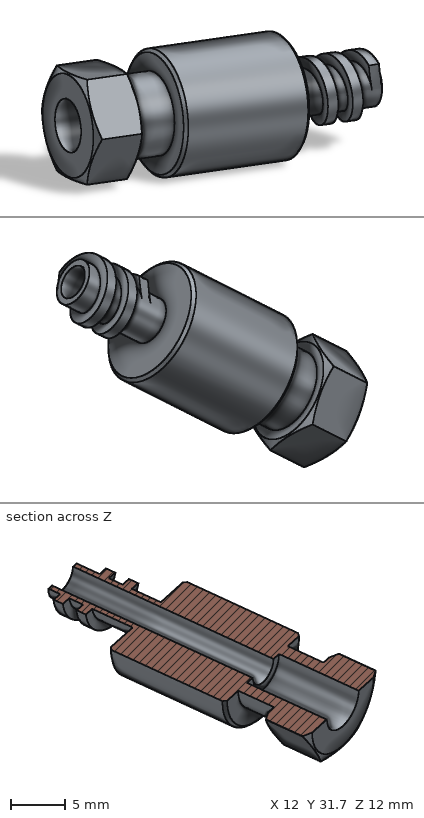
import cadquery as cq
import math

overall_length = 31.7

nut_length = 5.0
nut_across_flats = 10.02
nut_face_diameter = 9.7
nut_chamfer_depth = 0.4

neck_diameter = 7.9
neck_length = 4.0
body_diameter = 12.0
body_chamfer = 0.32
spigot_diameter = 4.5
spigot_length = 9.5

bore_diameter = 3.25
socket_diameter = 5.0

thread_diameter = 6.5
thread_pitch = 2.6
thread_crest = 1.08
thread_turns = 2.5
thread_root_overlap = 0.15

body_start = nut_length + neck_length
body_end = overall_length - spigot_length
thread_end = overall_length - thread_crest / 2
thread_start = thread_end - thread_turns * thread_pitch


def rod(diameter, start, end):
    """Cylinder on the Y axis between two stations."""
    plane = cq.Workplane("XZ", origin=(0, start, 0))
    return plane.circle(diameter / 2).extrude(start - end)


def make_nut():
    """Hexagon with flats facing up and down, both ends trimmed by shallow cones."""
    corner_diameter = nut_across_flats / math.cos(math.pi / 6)
    hexagon = cq.Workplane("XZ").polygon(6, corner_diameter).extrude(-nut_length)
    face_radius = nut_face_diameter / 2
    corner_radius = corner_diameter / 2
    turned_blank = (
        cq.Workplane("XY")
        .polyline([
            (0, 0),
            (face_radius, 0),
            (corner_radius, nut_chamfer_depth),
            (corner_radius, nut_length - nut_chamfer_depth),
            (face_radius, nut_length),
            (0, nut_length),
        ])
        .close()
        .revolve(360, (0, 0, 0), (0, 1, 0))
    )
    return hexagon.intersect(turned_blank)


def make_body():
    """Round body with both rims chamfered."""
    return rod(body_diameter, body_start, body_end).edges("%CIRCLE").chamfer(body_chamfer)


def make_thread():
    """Helical ridge from the -X side to the +X side, both ends cut flat in line with the spigot."""
    spigot_radius = spigot_diameter / 2
    thread_radius = thread_diameter / 2
    root_radius = spigot_radius - thread_root_overlap
    path = cq.Wire.makeHelix(thread_pitch, thread_turns * thread_pitch, spigot_radius)
    ridge = (
        cq.Workplane("XZ")
        .center((root_radius + thread_radius) / 2, 0)
        .rect(thread_radius - root_radius, thread_crest)
        .sweep(cq.Workplane(path), isFrenet=True)
        .rotate((0, 0, 0), (0, 0, 1), 180)
        .rotate((0, 0, 0), (1, 0, 0), -90)
        .translate((0, thread_start, 0))
    )
    for side, station in ((-1, thread_start), (1, thread_end)):
        end_cut = cq.Workplane("XY").box(
            thread_radius, thread_pitch, thread_radius, centered=(True, True, False)
        )
        ridge = ridge.cut(end_cut.translate((side * (spigot_radius + thread_radius / 2), station, 0)))
    return ridge


result = (
    make_nut()
    .union(rod(neck_diameter, nut_length, body_start))
    .union(make_body())
    .union(rod(spigot_diameter, body_end, overall_length))
    .union(make_thread())
)

result = result.cut(rod(bore_diameter, 0, overall_length))
result = result.cut(rod(socket_diameter, 0, body_start))